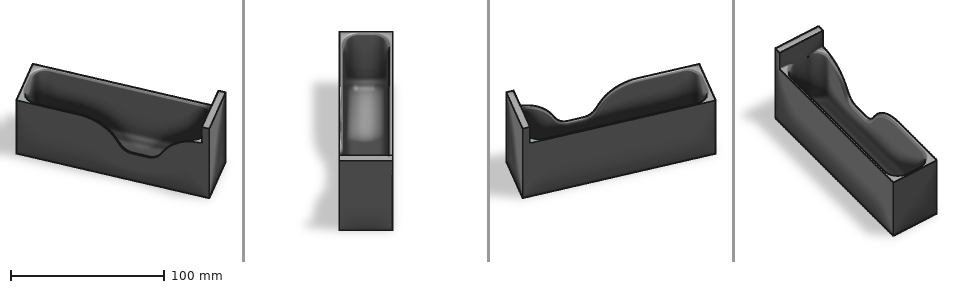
import cadquery as cq
import math

length = 132.5
width = 35.0
total_height = 65.0
body_height = 50.0
plate_thickness = 5.0

wall = 2.5
floor_thickness = 5.0
pocket_radius = 10.0
rim_clearance = 0.03
rim_radius = wall - rim_clearance

notch_bottom = 25.0
notch_flat = 10.0
notch_top_radius = 30.0
notch_bottom_radius = 10.0
notch_width = 84.9

plate_root_radius = 1.0

plate_face = length - plate_thickness
notch_center = plate_face - notch_width / 2


def make_pocket():
    """Round-cornered cavity whose +X wall is flush with the plate face."""
    pocket_length = plate_face - wall
    pocket_width = width - 2 * wall
    return (
        cq.Workplane("XY")
        .box(pocket_length, pocket_width, body_height, centered=False)
        .edges("|Z").fillet(pocket_radius)
        .faces("<Z").edges().fillet(pocket_radius)
        .translate((wall, wall, floor_thickness))
    )


def make_notch():
    """Bell-shaped opening through the front wall, with straight flanks tangent to its arcs."""
    run = (notch_width - notch_flat) / 2
    rise = body_height - notch_bottom
    radius_sum = notch_top_radius + notch_bottom_radius
    center_drop = radius_sum - rise
    flank_length = math.sqrt(run**2 + center_drop**2 - radius_sum**2)
    flank_angle = math.atan2(radius_sum, flank_length) - math.atan2(center_drop, run)

    def lower_arc(angle):
        offset = notch_flat / 2 + notch_bottom_radius * math.sin(angle)
        return offset, notch_bottom + notch_bottom_radius * (1 - math.cos(angle))

    def upper_arc(angle):
        offset = notch_width / 2 - notch_top_radius * math.sin(angle)
        return offset, body_height - notch_top_radius * (1 - math.cos(angle))

    def right(point):
        return notch_center + point[0], point[1]

    def left(point):
        return notch_center - point[0], point[1]

    half_angle = flank_angle / 2
    return (
        cq.Workplane("XZ")
        .moveTo(*left(upper_arc(0)))
        .threePointArc(left(upper_arc(half_angle)), left(upper_arc(flank_angle)))
        .lineTo(*left(lower_arc(flank_angle)))
        .threePointArc(left(lower_arc(half_angle)), left(lower_arc(0)))
        .lineTo(*right(lower_arc(0)))
        .threePointArc(right(lower_arc(half_angle)), right(lower_arc(flank_angle)))
        .lineTo(*right(upper_arc(flank_angle)))
        .threePointArc(right(upper_arc(half_angle)), right(upper_arc(0)))
        .close()
        .extrude(-width / 2)
    )


body = cq.Workplane("XY").box(length, width, body_height, centered=False)
body = body.cut(make_pocket()).cut(make_notch())
inside_rim = cq.selectors.BoxSelector(
    (wall / 2, wall / 2, notch_bottom - wall / 2),
    (plate_face + wall / 2, width - wall / 2, body_height + wall),
)
body = body.edges(inside_rim).edges("not |Z").fillet(rim_radius)

plate = (
    cq.Workplane("XY")
    .box(plate_thickness, width, total_height - floor_thickness, centered=False)
    .translate((plate_face, 0, floor_thickness))
)
body = body.union(plate)
root_zone = cq.selectors.BoxSelector(
    (plate_face - plate_root_radius, -wall, body_height - plate_root_radius),
    (plate_face + plate_root_radius, width + wall, body_height + plate_root_radius),
)
result = body.edges(root_zone).edges("|Y").fillet(plate_root_radius)